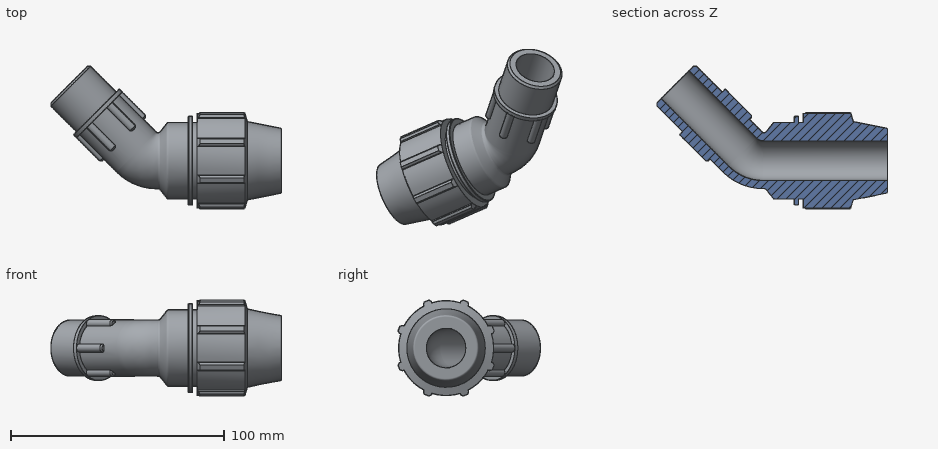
import cadquery as cq


PIPE_RADIUS = 26.44 / 2
BORE_RADIUS = 18.51 / 2
BEND_ANGLE = 45
BEND_RADIUS = 13.5

SPIGOT_LENGTH = 44.87
SPIGOT_CHAMFER = 1.0
COLLAR_RADIUS = 30.41 / 2
COLLAR_WIDTH = 2.0
COLLAR_START = 24.8
SPIGOT_RIB_COUNT = 6
SPIGOT_RIB_RADIUS = 1.97
SPIGOT_RIB_START = 8.65
SPIGOT_RIB_CHAMFER = 0.7

BODY_RADIUS = 36 / 2
CONE_START = 1.1
CONE_END = 4.9
CONE_FILLET = 1.0
RING_RADIUS = 41.76 / 2
RING_START = 14.55
RING_WIDTH = 2.05
RING_CHAMFER = 0.3

NUT_RADIUS = 22.3
NUT_START = 18.75
NUT_END = 41.15
NOSE_START = 42.3
NOSE_BASE_RADIUS = 18.4
NOSE_TIP_RADIUS = 15.2
NOSE_FILLET = 0.9
NOSE_END = 58.41

NUT_RIB_COUNT = 8
NUT_RIB_TOP_RADIUS = 23.93
NUT_RIB_EMBED = 1.0
NUT_RIB_ROOT_RADIUS = NUT_RADIUS - NUT_RIB_EMBED
NUT_RIB_TOP_WIDTH = 2.45
NUT_RIB_WIDTH = 4.1
NUT_RIB_SHOULDER_RADIUS = 22.85
NUT_RIB_LEAD = 1.4
TRIM_CLEARANCE = 1.0
TRIM_RADIUS = NUT_RIB_TOP_RADIUS + TRIM_CLEARANCE

X_AXIS_START = (0, 0, 0)
X_AXIS_END = (1, 0, 0)


def revolve_about_x(outline):
    """Revolve a closed outline of (x, radius) points about the X axis."""
    return cq.Workplane("XY").polyline(outline).close().revolve(360, X_AXIS_START, X_AXIS_END)


def cylinder_along_x(start, length, radius):
    return cq.Workplane("YZ", origin=(start, 0, 0)).circle(radius).extrude(length)


def bend(radius):
    """Torus segment that runs from the origin to the spigot."""
    return (
        cq.Workplane("YZ")
        .circle(radius)
        .revolve(BEND_ANGLE, (BEND_RADIUS, 0, 0), (BEND_RADIUS, -1, 0))
    )


def place_on_spigot_axis(shape):
    """Move a shape built along -X from the origin onto the end of the bend."""
    return shape.rotate((0, BEND_RADIUS, 0), (0, BEND_RADIUS, 1), -BEND_ANGLE)


def make_spigot():
    """Tube, collar and ribs along -X; the ribs are round bars centred on the tube surface."""
    tube = cylinder_along_x(0, -SPIGOT_LENGTH, PIPE_RADIUS).faces("<X").chamfer(SPIGOT_CHAMFER)
    spigot = tube.union(cylinder_along_x(-COLLAR_START, -COLLAR_WIDTH, COLLAR_RADIUS))
    rib = (
        cylinder_along_x(-SPIGOT_RIB_START, SPIGOT_RIB_START - COLLAR_START, SPIGOT_RIB_RADIUS)
        .faces(">X")
        .chamfer(SPIGOT_RIB_CHAMFER)
        .translate((0, PIPE_RADIUS, 0))
    )
    for index in range(SPIGOT_RIB_COUNT):
        angle = index * 360 / SPIGOT_RIB_COUNT
        spigot = spigot.union(rib.rotate(X_AXIS_START, X_AXIS_END, angle))
    return spigot


def make_body():
    body = revolve_about_x(
        [
            (0, 0),
            (0, PIPE_RADIUS),
            (CONE_START, PIPE_RADIUS),
            (CONE_END, BODY_RADIUS),
            (NUT_START, BODY_RADIUS),
            (NUT_START, 0),
        ]
    )
    cone_edges = cq.selectors.BoxSelector(
        (CONE_START / 2, -RING_RADIUS, -RING_RADIUS),
        (RING_START, RING_RADIUS, RING_RADIUS),
        boundingbox=True,
    )
    body = body.edges("%CIRCLE").edges(cone_edges).fillet(CONE_FILLET)
    ring = cylinder_along_x(RING_START, RING_WIDTH, RING_RADIUS).edges().chamfer(RING_CHAMFER)
    return body.union(ring)


def make_nut():
    """Ribbed barrel, trimmed by a lead-in bevel at one end and a cone at the other."""
    barrel = cylinder_along_x(NUT_START, NOSE_START - NUT_START, NUT_RADIUS)
    rib = (
        cq.Workplane("YZ", origin=(NUT_START, 0, 0))
        .polyline(
            [
                (-NUT_RIB_WIDTH / 2, NUT_RIB_ROOT_RADIUS),
                (-NUT_RIB_WIDTH / 2, NUT_RIB_SHOULDER_RADIUS),
                (-NUT_RIB_TOP_WIDTH / 2, NUT_RIB_TOP_RADIUS),
                (NUT_RIB_TOP_WIDTH / 2, NUT_RIB_TOP_RADIUS),
                (NUT_RIB_WIDTH / 2, NUT_RIB_SHOULDER_RADIUS),
                (NUT_RIB_WIDTH / 2, NUT_RIB_ROOT_RADIUS),
            ]
        )
        .close()
        .extrude(NOSE_START - NUT_START)
    )
    pitch = 360 / NUT_RIB_COUNT
    for index in range(NUT_RIB_COUNT):
        angle = (index + 0.5) * pitch
        barrel = barrel.union(rib.rotate(X_AXIS_START, X_AXIS_END, angle))

    lead_slope = NUT_RIB_LEAD / (NUT_RIB_TOP_RADIUS - NUT_RADIUS)
    cone_slope = (NOSE_START - NUT_END) / (NUT_RADIUS - NOSE_BASE_RADIUS)
    rise = TRIM_RADIUS - NUT_RADIUS
    trim = revolve_about_x(
        [
            (NUT_START, 0),
            (NUT_START, NUT_RADIUS),
            (NUT_START + lead_slope * rise, TRIM_RADIUS),
            (NUT_END - cone_slope * rise, TRIM_RADIUS),
            (NOSE_START, NOSE_BASE_RADIUS),
            (NOSE_START, 0),
        ]
    )
    return barrel.intersect(trim)


def make_nose():
    nose = revolve_about_x(
        [
            (NOSE_START, 0),
            (NOSE_START, NOSE_BASE_RADIUS),
            (NOSE_END, NOSE_TIP_RADIUS),
            (NOSE_END, 0),
        ]
    )
    return nose.faces(">X").edges().fillet(NOSE_FILLET)


def make_bore():
    straight = cylinder_along_x(0, NOSE_END, BORE_RADIUS)
    angled = place_on_spigot_axis(cylinder_along_x(0, -SPIGOT_LENGTH, BORE_RADIUS))
    return straight.union(bend(BORE_RADIUS)).union(angled)


fitting = make_body().union(make_nut()).union(make_nose())
fitting = fitting.union(bend(PIPE_RADIUS)).union(place_on_spigot_axis(make_spigot()))
result = fitting.cut(make_bore())